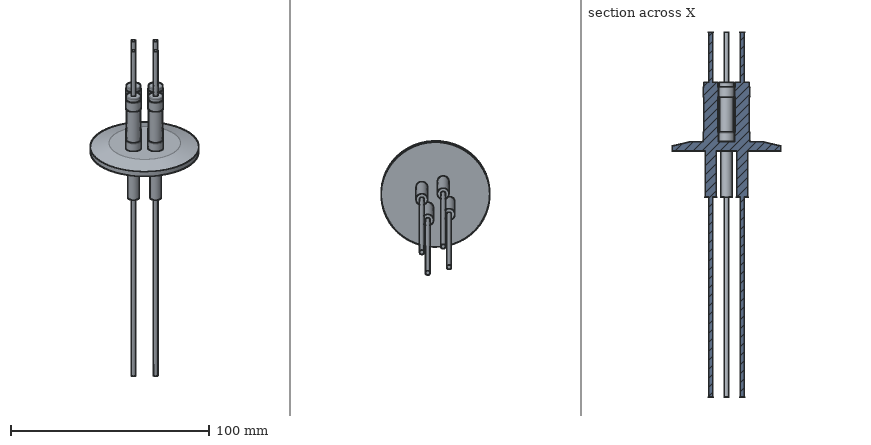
import cadquery as cq

flange_diameter = 54.9
flange_flat_diameter = 36.1
rim_height = 2.8
flange_height = 5.0

feedthrough_count = 4
pitch_diameter = 15.8

wire_diameter = 2.4
total_length = 184.2
wire_bottom_z = -124.1
wire_top_z = wire_bottom_z + total_length

sleeve_diameter = 5.9
sleeve_length = 23.2

insulator_diameter = 7.2
collar_diameter = 8.0
lower_collar_top_z = 9.8
upper_collar_bottom_z = 27.3
upper_collar_top_z = 32.6

cap_diameter = 7.4
cap_top_z = 34.8

edge_radius = 0.4


def cylinder(diameter, bottom_z, top_z):
    return cq.Workplane("XY").workplane(offset=bottom_z).circle(diameter / 2).extrude(top_z - bottom_z)


def make_flange():
    rim_radius = flange_diameter / 2
    profile = [
        (0, 0),
        (rim_radius, 0),
        (rim_radius, rim_height),
        (flange_flat_diameter / 2, flange_height),
        (0, flange_height),
    ]
    return cq.Workplane("XZ").polyline(profile).close().revolve(360, (0, 0), (0, 1))


def make_feedthrough():
    wire = cylinder(wire_diameter, wire_bottom_z, wire_top_z)
    sleeve = cylinder(sleeve_diameter, -sleeve_length, flange_height)
    insulator = cylinder(insulator_diameter, flange_height, upper_collar_top_z)
    lower_collar = cylinder(collar_diameter, flange_height, lower_collar_top_z)
    lower_collar = lower_collar.faces(">Z").edges().fillet(edge_radius)
    upper_collar = cylinder(collar_diameter, upper_collar_bottom_z, upper_collar_top_z)
    upper_collar = upper_collar.edges("%CIRCLE").fillet(edge_radius)
    cap = cylinder(cap_diameter, upper_collar_top_z, cap_top_z)
    cap = cap.faces(">Z").edges().fillet(edge_radius)

    body = wire.union(sleeve).union(insulator)
    return body.union(lower_collar).union(upper_collar).union(cap)


result = make_flange()
feedthrough = make_feedthrough().translate((pitch_diameter / 2, 0, 0))
for index in range(feedthrough_count):
    angle = index * 360 / feedthrough_count
    result = result.union(feedthrough.rotate((0, 0, 0), (0, 0, 1), angle))